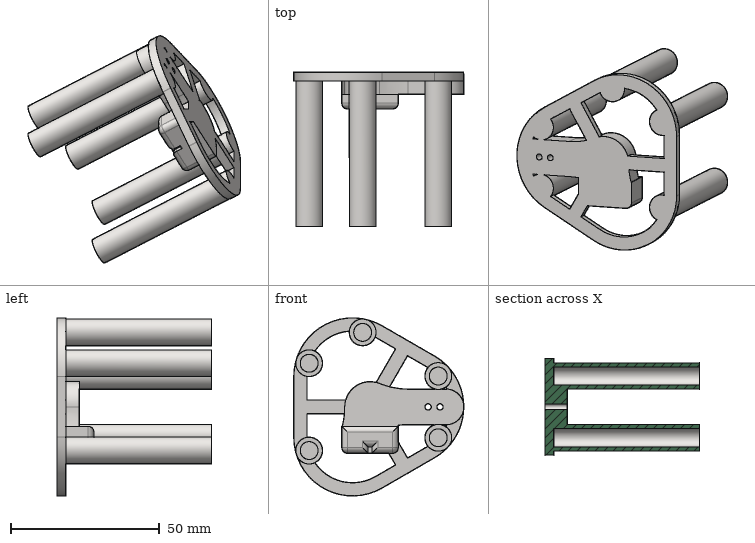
import cadquery as cq
import math

frame_thickness = 3.0
overall_depth = 51.9
corner_radius = 19.78
corner_spacing = 20.3
rim_width = 4.5
spoke_width = 4.7

column_diameter = 9.0
column_bore = 6.0
column_swing = 42.8
column_edge_gap = 0.03

pad_height = 4.5
hub_radius = 8.5
arm_half_width = 6.0
blend_radius = 25.0
arm_hole_diameter = 2.0
arm_hole_positions = (19.5, 23.5)

box_width = 19.0
box_top = -6.5
box_bottom = -15.6
box_height = 9.4
edge_radius = 2.0
slot_width = 1.2
slot_top = -13.5
slot_depth = 4.0

triangle_radius = corner_spacing / math.sqrt(3)
triangle_inradius = triangle_radius / 2
frame_reach = triangle_inradius + corner_radius
arm_end = triangle_radius + corner_radius
column_offset = corner_radius - column_diameter / 2 - column_edge_gap
bore_depth = overall_depth - frame_thickness
pad_depth = frame_thickness + pad_height
box_depth = frame_thickness + box_height
corner_angles = (0, 120, 240)
side_angles = (60, 180, 300)


def polar(radius, degrees):
    angle = math.radians(degrees)
    return (radius * math.cos(angle), radius * math.sin(angle))


def back_plane():
    return cq.Workplane("XZ")


def rounded_triangle(radius):
    corners = [polar(triangle_radius, angle) for angle in corner_angles]
    return back_plane().polyline(corners).close().offset2D(radius).extrude(frame_thickness)


def make_frame():
    frame = rounded_triangle(corner_radius).cut(rounded_triangle(corner_radius - rim_width))
    spoke_length = frame_reach - rim_width / 2
    for angle in side_angles:
        spoke = (
            back_plane()
            .transformed(rotate=(0, 0, angle))
            .center(spoke_length / 2, 0)
            .rect(spoke_length, spoke_width)
            .extrude(frame_thickness)
        )
        frame = frame.union(spoke)
    return frame


def column_centre(corner_angle, swing):
    corner_x, corner_z = polar(triangle_radius, corner_angle)
    offset_x, offset_z = polar(column_offset, corner_angle + swing)
    return (corner_x + offset_x, corner_z + offset_z)


def column_centres():
    right_corner, upper_corner, lower_corner = corner_angles
    centres = [column_centre(lower_corner, -column_swing)]
    for corner_angle in (right_corner, upper_corner):
        for swing in (-column_swing, column_swing):
            centres.append(column_centre(corner_angle, swing))
    return centres


def make_columns():
    return back_plane().pushPoints(column_centres()).circle(column_diameter / 2).extrude(overall_depth)


def make_column_bores():
    return (
        back_plane()
        .workplane(offset=frame_thickness)
        .pushPoints(column_centres())
        .circle(column_bore / 2)
        .extrude(bore_depth)
    )


def make_pad():
    centre_distance = hub_radius + blend_radius
    blend_centre_z = arm_half_width + blend_radius
    blend_end_x = math.sqrt(centre_distance**2 - blend_centre_z**2)
    blend_angle = math.degrees(math.atan2(blend_centre_z, blend_end_x))
    hub_blend_point = polar(hub_radius, blend_angle)
    hub_middle_point = polar(hub_radius, (blend_angle + 180) / 2)
    arm_centre_x = arm_end - arm_half_width

    left_blend_x = math.sqrt(blend_radius**2 - box_top**2) - centre_distance
    box_side = box_width / 2
    lower_blend_z = math.sqrt(blend_radius**2 - (blend_end_x - box_side) ** 2) - blend_centre_z

    return (
        back_plane()
        .moveTo(arm_centre_x, -arm_half_width)
        .threePointArc((arm_end, 0), (arm_centre_x, arm_half_width))
        .lineTo(blend_end_x, arm_half_width)
        .radiusArc(hub_blend_point, blend_radius)
        .threePointArc(hub_middle_point, (-hub_radius, 0))
        .radiusArc((left_blend_x, box_top), blend_radius)
        .lineTo(box_side, box_top)
        .lineTo(box_side, lower_blend_z)
        .radiusArc((blend_end_x, -arm_half_width), blend_radius)
        .close()
        .extrude(pad_depth)
    )


def make_box():
    box_plan_height = box_top - box_bottom
    box = (
        back_plane()
        .center(0, box_bottom + box_plan_height / 2)
        .rect(box_width, box_plan_height)
        .extrude(box_depth)
        .edges("|Y and <Z")
        .fillet(edge_radius)
    )
    slot = (
        back_plane()
        .workplane(offset=box_depth - slot_depth)
        .center(0, box_bottom)
        .rect(slot_width, 2 * (slot_top - box_bottom))
        .extrude(slot_depth)
    )
    return box.cut(slot).faces("<Y").edges().fillet(edge_radius)


def make_arm_holes():
    centres = [(x, 0) for x in arm_hole_positions]
    return back_plane().pushPoints(centres).circle(arm_hole_diameter / 2).extrude(pad_depth)


result = (
    make_frame()
    .union(make_columns())
    .union(make_pad())
    .union(make_box())
    .cut(make_column_bores())
    .cut(make_arm_holes())
)